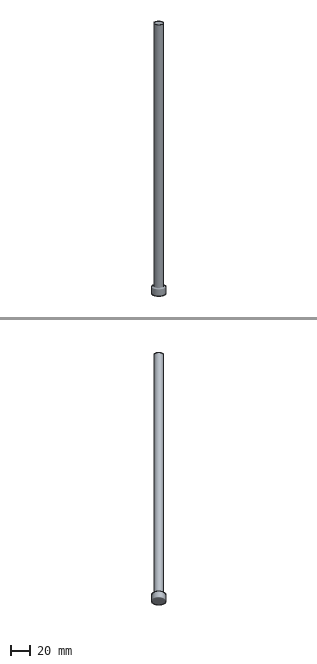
import cadquery as cq

total_length = 300.0
head_diameter = 15.0
head_height = 8.0
shank_diameter = 10.2
head_rounding = 0.5
neck_fillet = 0.3

head = (
    cq.Workplane("XY")
    .circle(head_diameter / 2)
    .extrude(head_height)
    .edges("%CIRCLE")
    .fillet(head_rounding)
)

shank = cq.Workplane("XY").circle(shank_diameter / 2).extrude(total_length)
pin = head.union(shank)

head_top = cq.selectors.NearestToPointSelector((0, 0, head_height))
neck_edge = cq.selectors.RadiusNthSelector(0)
result = pin.faces(head_top).edges(neck_edge).fillet(neck_fillet)